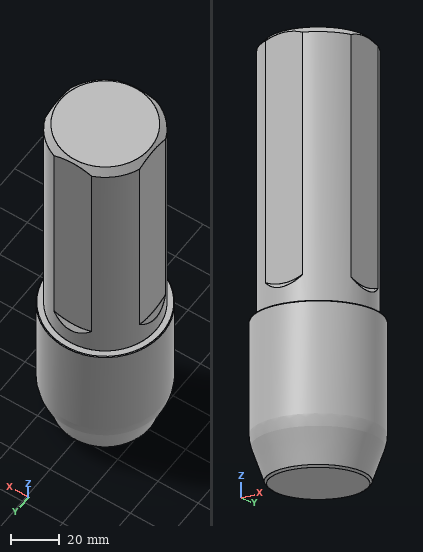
import cadquery as cq
import math

total_height = 190.0
body_radius = 28.5
body_top = 70.0
body_edge_chamfer = 0.4
shank_diameter = 50.7
shank_radius = shank_diameter / 2
shank_chamfer_width = 3.0
shank_chamfer_height = 3.0

taper_angle = math.radians(20)
blend_top = 20.9
blend_radius = 15.0
nose_chamfer = 1.0

flat_distance = 23.5
flat_count = 4
flat_bottom = 80.4
runout_radius = 24.1
runout_flare = 1.2
cutter_depth = 3.8


def blend_point(angle):
    """Point (radius, z) on the blend arc where its tangent leans by angle."""
    return (
        body_radius - blend_radius * (1 - math.cos(angle)),
        blend_top - blend_radius * math.sin(angle),
    )


def make_body():
    taper_top_radius, taper_top = blend_point(taper_angle)
    nose_radius = taper_top_radius - (taper_top - nose_chamfer) * math.tan(taper_angle)
    return (
        cq.Workplane("XZ")
        .moveTo(0, 0)
        .lineTo(nose_radius - nose_chamfer, 0)
        .lineTo(nose_radius, nose_chamfer)
        .lineTo(taper_top_radius, taper_top)
        .threePointArc(blend_point(taper_angle / 2), (body_radius, blend_top))
        .lineTo(body_radius, body_top - body_edge_chamfer)
        .lineTo(body_radius - body_edge_chamfer, body_top)
        .lineTo(shank_radius, body_top)
        .lineTo(shank_radius, total_height - shank_chamfer_height)
        .lineTo(shank_radius - shank_chamfer_width, total_height)
        .lineTo(0, total_height)
        .close()
        .revolve(360, (0, 0, 0), (0, 1, 0))
    )


def make_flat_cutter():
    """Tool for the flat on the +X side: a flared round end and a straight run above it."""
    runout_center = flat_bottom + runout_radius
    runout = cq.Workplane(
        cq.Solid.makeCone(
            runout_radius,
            runout_radius + runout_flare * cutter_depth,
            cutter_depth,
            pnt=cq.Vector(flat_distance, 0, runout_center),
            dir=cq.Vector(1, 0, 0),
        )
    )
    straight_run = cq.Workplane("XY").box(
        cutter_depth, 2 * runout_radius, total_height - runout_center, centered=(False, True, False)
    )
    return runout.union(straight_run.translate((flat_distance, 0, runout_center)))


result = make_body()
flat_cutter = make_flat_cutter()
for index in range(flat_count):
    result = result.cut(flat_cutter.rotate((0, 0, 0), (0, 0, 1), index * 360 / flat_count))